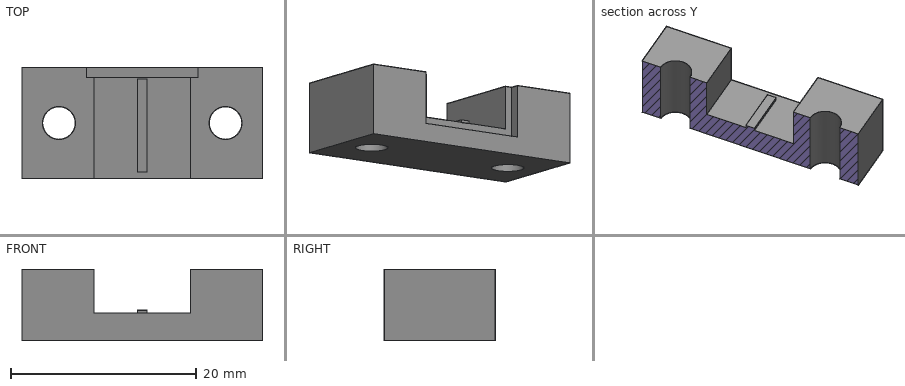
import cadquery as cq

length = 26.0
width = 12.0
height = 7.7

channel_width = 10.4
floor_height = 3.0

recess_width = 12.1
recess_depth = 1.1
recess_floor_drop = 1.0

rib_width = 1.05
rib_height = 0.3
rib_front_gap = 0.7
rib_back_gap = 0.15

hole_diameter = 3.5
hole_spacing = 18.0

front_y = -width / 2
back_y = width / 2


def box_on(x_size, y_start, y_end, z_start, z_end):
    """Box centred in X between the given Y and Z limits."""
    return (
        cq.Workplane("XY", origin=(0, (y_start + y_end) / 2, z_start))
        .rect(x_size, y_end - y_start)
        .extrude(z_end - z_start)
    )


block = box_on(length, front_y, back_y, 0, height)
channel = box_on(channel_width, front_y, back_y, floor_height, height)

recess_front_y = back_y - recess_depth
recess_floor = floor_height - recess_floor_drop
recess = box_on(recess_width, recess_front_y, back_y, recess_floor, height)

rib = box_on(
    rib_width,
    front_y + rib_front_gap,
    recess_front_y - rib_back_gap,
    floor_height,
    floor_height + rib_height,
)

holes = (
    cq.Workplane("XY")
    .pushPoints([(-hole_spacing / 2, 0), (hole_spacing / 2, 0)])
    .circle(hole_diameter / 2)
    .extrude(height)
)

result = block.cut(channel).cut(recess).union(rib).cut(holes)